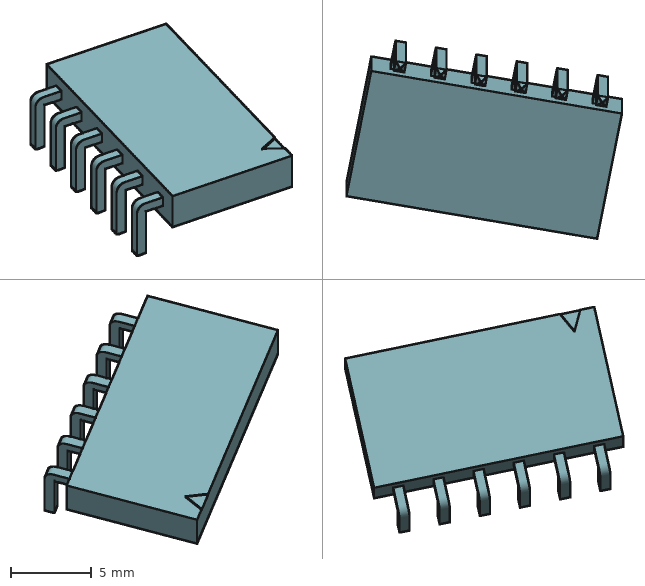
import cadquery as cq

housing_length = 15.75
housing_depth = 8.5
housing_height = 2.4

pin_count = 6
end_margin = 1.53
pin_width = 0.65
pin_reach = 1.85
pin_drop = 2.55
bend_radius = 0.58
tip_length = 0.25

mark_size = 1.28
mark_recess = 0.08

pin_top = (housing_height + pin_width) / 2
pin_pitch = (housing_length - 2 * end_margin) / (pin_count - 1)
last_pin_x = housing_length / 2 - end_margin


def make_housing():
    block = cq.Workplane("XY").box(
        housing_length, housing_depth, housing_height, centered=(True, False, False)
    )
    mark = (
        cq.Workplane("XY", origin=(last_pin_x, housing_depth, housing_height))
        .moveTo(-mark_size / 2, 0)
        .lineTo(mark_size / 2, 0)
        .lineTo(0, -mark_size)
        .close()
        .extrude(-mark_recess)
    )
    return block.cut(mark)


def make_pin(x):
    """One bent pin centred on x: it leaves the housing horizontally, then turns down."""
    leg_inner_y = pin_width - pin_reach
    pin = (
        cq.Workplane("YZ", origin=(x, 0, 0))
        .moveTo(0, pin_top)
        .lineTo(-pin_reach, pin_top)
        .lineTo(-pin_reach, -pin_drop)
        .lineTo(leg_inner_y, -pin_drop)
        .lineTo(leg_inner_y, pin_top - pin_width)
        .lineTo(0, pin_top - pin_width)
        .close()
        .extrude(pin_width / 2, both=True)
    )
    pin = pin.edges("|X and >Z and <Y").fillet(bend_radius)
    return pin.faces("<Z").chamfer(tip_length)


housing = make_housing()
pins = [make_pin(index * pin_pitch - last_pin_x) for index in range(pin_count)]

result = cq.Compound.makeCompound([housing.val(), *[pin.val() for pin in pins]])